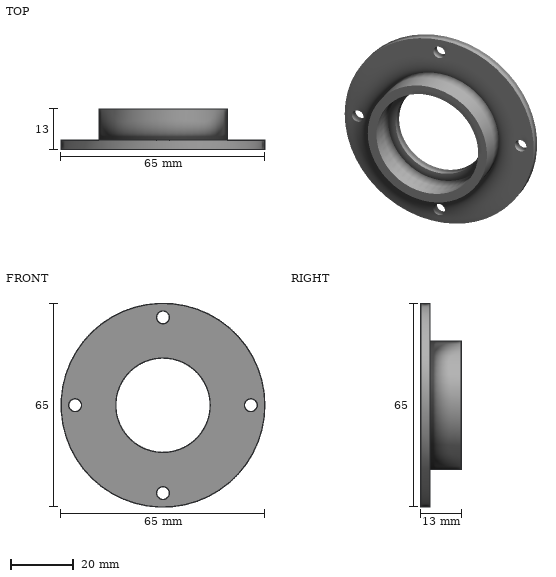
import cadquery as cq

flange_diameter = 65.0
flange_thickness = 3.0

hub_diameter = 41.0
hub_length = 10.0

flange_opening_diameter = 30.0
hub_bore_diameter = 35.0

mounting_hole_diameter = 4.0
mounting_hole_count = 4
bolt_circle_diameter = 56.0


def cylinder_along_y(diameter, start_y, length):
    """Solid cylinder centred on the Y axis, from start_y toward +Y."""
    plane = cq.Workplane("XZ", origin=(0, start_y, 0))
    return plane.circle(diameter / 2).extrude(-length)


def mounting_holes():
    """Cutters for the mounting holes, as deep as the flange is thick."""
    return (
        cq.Workplane("XZ")
        .polarArray(bolt_circle_diameter / 2, 0, 360, mounting_hole_count)
        .circle(mounting_hole_diameter / 2)
        .extrude(-flange_thickness)
    )


flange = cylinder_along_y(flange_diameter, 0, flange_thickness)
hub = cylinder_along_y(hub_diameter, flange_thickness, hub_length)
flange_opening = cylinder_along_y(flange_opening_diameter, 0, flange_thickness)
hub_bore = cylinder_along_y(hub_bore_diameter, flange_thickness, hub_length)

result = flange.union(hub).cut(flange_opening).cut(hub_bore).cut(mounting_holes())